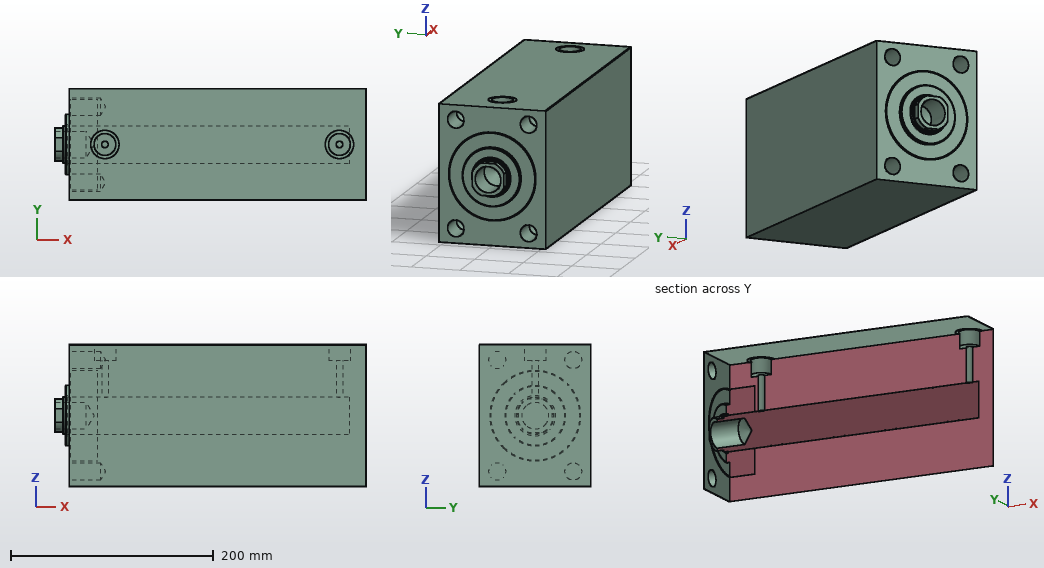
import cadquery as cq
import math


OVERALL_LENGTH = 307.0
ROD_PROTRUSION = 14.0
HOUSING_LENGTH = OVERALL_LENGTH - ROD_PROTRUSION
HOUSING_WIDTH = 110.0
HOUSING_HEIGHT = 140.0
EDGE_CHAMFER = 0.5

MOUNT_HOLE_DIAMETER = 17.0
MOUNT_HOLE_DEPTH = 30.7
MOUNT_SPACING_Y = 75.0
MOUNT_SPACING_Z = 110.0

FRONT_PORT_X = 35.3
PORT_SPACING = 231.2
SPOTFACE_DIAMETER = 28.0
SPOTFACE_DEPTH = 0.15
PORT_DIAMETER = 21.5
PORT_DEPTH = 15.5
OIL_HOLE_DIAMETER = 6.5

GLAND_DIAMETER = 89.5
GLAND_DEPTH = 27.5
COLLAR_DIAMETER = 60.0
COLLAR_LENGTH = 3.7
GLAND_CHAMFER = 1.0
ROD_CLEARANCE_DIAMETER = 40.0
ROD_CLEARANCE_DEPTH = 1.8

ROD_DIAMETER = 36.8
ROD_DEPTH = 276.3
TIP_DIAMETER = 35.5
ACROSS_FLATS = 33.0
FLAT_LENGTH = 7.7
NECK_LENGTH = 1.0
ROD_HOLE_DIAMETER = 26.5
ROD_HOLE_DEPTH = 30.7

DRILL_POINT_ANGLE = 118.0


def axial_cylinder(diameter, x_start, x_end):
    """Cylinder on the X axis between two X positions."""
    return cq.Workplane("YZ", origin=(x_start, 0, 0)).circle(diameter / 2).extrude(x_end - x_start)


def vertical_cylinder(diameter, x, z_start, z_end):
    """Upright cylinder in the plane Y = 0 between two heights."""
    return cq.Workplane("XY", origin=(x, 0, z_start)).circle(diameter / 2).extrude(z_end - z_start)


def drilled_hole(diameter, depth, mouth):
    """Cutter for a blind hole along +X with a conical drill point."""
    radius = diameter / 2
    point_length = radius / math.tan(math.radians(DRILL_POINT_ANGLE / 2))
    half_section = [(0, 0), (0, radius), (depth, radius), (depth + point_length, 0)]
    cutter = cq.Workplane("XZ").polyline(half_section).close().revolve(360, (0, 0, 0), (1, 0, 0))
    return cutter.translate(mouth)


def port_cutter(x):
    """Spotface, port bore and oil hole, stacked downwards from the top face to the rod bore."""
    top = HOUSING_HEIGHT / 2
    spotface = vertical_cylinder(SPOTFACE_DIAMETER, x, top - SPOTFACE_DEPTH, top)
    bore = vertical_cylinder(PORT_DIAMETER, x, top - PORT_DEPTH, top)
    oil_hole = vertical_cylinder(OIL_HOLE_DIAMETER, x, 0, top)
    return spotface.union(bore).union(oil_hole)


def make_housing():
    housing = cq.Workplane("XY").box(HOUSING_LENGTH, HOUSING_WIDTH, HOUSING_HEIGHT)
    housing = housing.translate((HOUSING_LENGTH / 2, 0, 0))
    housing = housing.faces("<Y").edges(">Z").chamfer(EDGE_CHAMFER)

    housing = housing.cut(axial_cylinder(GLAND_DIAMETER, 0, GLAND_DEPTH))
    housing = housing.cut(axial_cylinder(ROD_DIAMETER, 0, ROD_DEPTH))

    for y in (-MOUNT_SPACING_Y / 2, MOUNT_SPACING_Y / 2):
        for z in (-MOUNT_SPACING_Z / 2, MOUNT_SPACING_Z / 2):
            housing = housing.cut(drilled_hole(MOUNT_HOLE_DIAMETER, MOUNT_HOLE_DEPTH, (0, y, z)))

    for x in (FRONT_PORT_X, FRONT_PORT_X + PORT_SPACING):
        housing = housing.cut(port_cutter(x))
    return housing


def make_gland():
    body = axial_cylinder(GLAND_DIAMETER, 0, GLAND_DEPTH).faces("<X").chamfer(GLAND_CHAMFER)
    collar = axial_cylinder(COLLAR_DIAMETER, -COLLAR_LENGTH, 0).faces("<X").chamfer(GLAND_CHAMFER)
    rod_bore = axial_cylinder(ROD_DIAMETER, -COLLAR_LENGTH, GLAND_DEPTH)
    clearance_end = -COLLAR_LENGTH + ROD_CLEARANCE_DEPTH
    rod_clearance = axial_cylinder(ROD_CLEARANCE_DIAMETER, -COLLAR_LENGTH, clearance_end)
    return body.union(collar).cut(rod_bore).cut(rod_clearance)


def make_rod():
    tip_end = -ROD_PROTRUSION
    neck_start = tip_end + FLAT_LENGTH
    neck_end = neck_start + NECK_LENGTH

    square = cq.Workplane("YZ", origin=(tip_end, 0, 0)).rect(ACROSS_FLATS, ACROSS_FLATS)
    tip = axial_cylinder(TIP_DIAMETER, tip_end, neck_start).intersect(square.extrude(FLAT_LENGTH))

    shaft_half_section = [
        (neck_start, 0),
        (neck_start, TIP_DIAMETER / 2),
        (neck_end, ROD_DIAMETER / 2),
        (ROD_DEPTH, ROD_DIAMETER / 2),
        (ROD_DEPTH, 0),
    ]
    shaft = cq.Workplane("XZ").polyline(shaft_half_section).close().revolve(360, (0, 0, 0), (1, 0, 0))

    return tip.union(shaft).cut(drilled_hole(ROD_HOLE_DIAMETER, ROD_HOLE_DEPTH, (tip_end, 0, 0)))


housing = make_housing()
gland = make_gland()
rod = make_rod()
result = cq.Compound.makeCompound([housing.solids().val(), gland.solids().val(), rod.solids().val()])